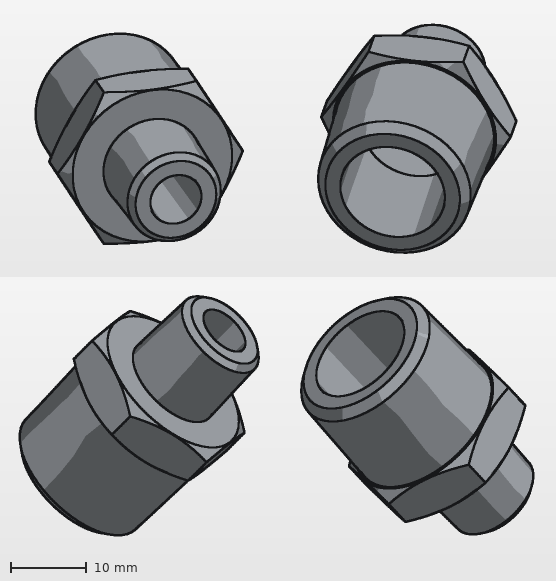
import cadquery as cq
import math

length = 32.0
hex_start = 15.0
hex_end = 21.0

across_flats = 22.0
across_corners = across_flats / math.cos(math.radians(30))
hex_chamfer_angle = 30.0
hex_face_radius = 10.95

taper = 1 / 16
large_tip_diameter = 20.48
large_chamfer = 1.2
small_tip_diameter = 12.8
small_chamfer = 0.85

large_bore_diameter = 14.0
small_bore_diameter = 7.0
large_bore_depth = 15.0
bore_cone_half_angle = 45.0


def revolve_about_x(points):
    """Turn a closed (x, radius) outline about the X axis."""
    return cq.Workplane("XY").polyline(points).close().revolve(360, (0, 0, 0), (1, 0, 0))


def tapered_end(tip_x, root_x, tip_diameter, chamfer):
    """Chamfered taper widening from its tip to its root on the hexagon."""
    direction = math.copysign(1, root_x - tip_x)
    taper_x = tip_x + direction * chamfer

    def radius_at(x):
        return (tip_diameter + taper * abs(x - taper_x)) / 2

    return revolve_about_x([
        (tip_x, 0),
        (tip_x, radius_at(taper_x) - chamfer),
        (taper_x, radius_at(taper_x)),
        (root_x, radius_at(root_x)),
        (root_x, 0),
    ])


def chamfered_hexagon():
    """Hexagon with corners on the Y axis, chamfered at both ends."""
    hexagon = (
        cq.Workplane("YZ").workplane(offset=hex_start)
        .polygon(6, across_corners).extrude(hex_end - hex_start)
    )
    corner_radius = across_corners / 2
    chamfer_run = (corner_radius - hex_face_radius) * math.tan(math.radians(hex_chamfer_angle))
    envelope = revolve_about_x([
        (hex_start, 0),
        (hex_start, hex_face_radius),
        (hex_start + chamfer_run, corner_radius),
        (hex_end - chamfer_run, corner_radius),
        (hex_end, hex_face_radius),
        (hex_end, 0),
    ])
    return hexagon.intersect(envelope)


def stepped_bore():
    """Through bore, wide at the large end, narrowing through a cone."""
    large_radius = large_bore_diameter / 2
    small_radius = small_bore_diameter / 2
    cone_length = (large_radius - small_radius) / math.tan(math.radians(bore_cone_half_angle))
    cone_end = large_bore_depth + cone_length
    return revolve_about_x([
        (0, 0),
        (0, large_radius),
        (large_bore_depth, large_radius),
        (cone_end, small_radius),
        (length, small_radius),
        (length, 0),
    ])


large_end = tapered_end(0, hex_start, large_tip_diameter, large_chamfer)
small_end = tapered_end(length, hex_end, small_tip_diameter, small_chamfer)
result = large_end.union(chamfered_hexagon()).union(small_end).cut(stepped_bore())